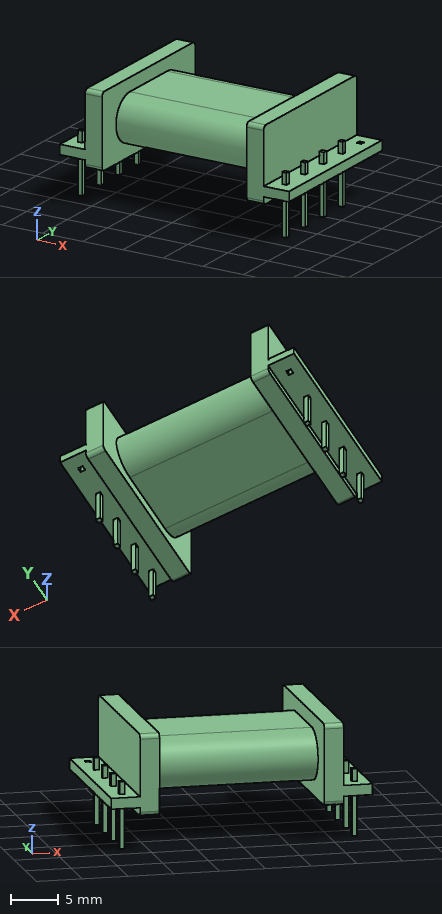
import cadquery as cq

total_length = 28.55
total_width = 19.0

flange_gap = 18.0
flange_thickness = 2.125
flange_height = 8.95
flange_corner_radius = 0.5

core_height = 5.7
core_width = 13.3

rail_bottom = 0.95
rail_thickness = 1.2

pin_size = 0.55
pin_pitch = 3.81
pin_row_spacing = 25.4
pin_bottom = -3.85
pin_top = 3.5
positions_per_row = 5

flange_outer_x = flange_gap / 2 + flange_thickness
rail_depth = total_length / 2 - flange_outer_x
pin_ys = [(i - (positions_per_row - 1) / 2) * pin_pitch for i in range(positions_per_row)]
occupied_ys = pin_ys[:-1]
empty_y = pin_ys[-1]


def make_core():
    """Oblong bar along X that runs from flange to flange."""
    return (
        cq.Workplane("YZ", origin=(-flange_gap / 2, 0, flange_height / 2))
        .slot2D(core_width, core_height)
        .extrude(flange_gap)
    )


def make_flange(side):
    """Upright end plate with rounded corners; side is -1 or +1 along X."""
    center_x = side * (flange_gap + flange_thickness) / 2
    return (
        cq.Workplane("XY")
        .box(flange_thickness, total_width, flange_height)
        .edges("|X")
        .fillet(flange_corner_radius)
        .translate((center_x, 0, flange_height / 2))
    )


def square_bar(x, y, bottom, top):
    """Vertical bar with the pin cross-section."""
    return cq.Workplane("XY", origin=(x, y, bottom)).rect(pin_size, pin_size).extrude(top - bottom)


def make_rail(side):
    """Ledge outside the flange, with its pins and the one empty pin hole."""
    rail_top = rail_bottom + rail_thickness
    center_x = side * (flange_outer_x + rail_depth / 2)
    pin_x = side * pin_row_spacing / 2
    rail = (
        cq.Workplane("XY", origin=(center_x, 0, rail_bottom))
        .rect(rail_depth, total_width)
        .extrude(rail_thickness)
        .cut(square_bar(pin_x, empty_y, rail_bottom, rail_top))
    )
    for pin_y in occupied_ys:
        rail = rail.union(square_bar(pin_x, pin_y, pin_bottom, pin_top))
    return rail


result = make_core()
for side in (-1, 1):
    result = result.union(make_flange(side)).union(make_rail(side))